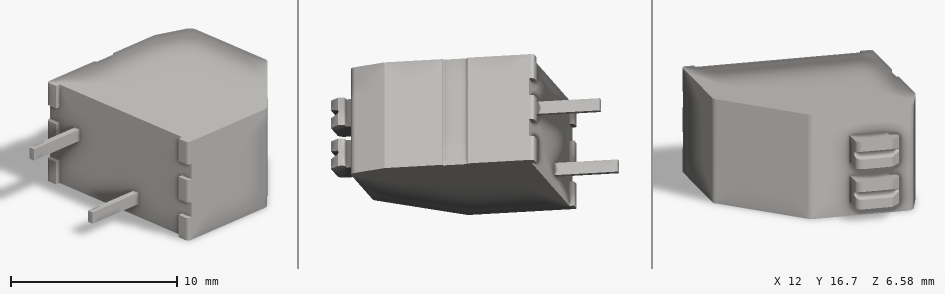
import cadquery as cq
import math


poles = 2
pole_pitch = 2.54
end_plate = 1.5

housing_x = 12.0
housing_z = poles * pole_pitch + end_plate
housing_height = 11.53
foot_height = 0.3
back_slope_height = 2.33
back_slope_angle = 20.0
back_slope_radius = 0.55
front_slope_x = 4.7
front_slope_height = 4.78
front_slope_radius = 0.5

groove_depth = 0.15
groove_width = 1.55
groove_bottom_y = 4.1
groove_radius = 0.14

foot_x = 0.8
foot_z = end_plate
foot_radius = 0.2

pin_length = 3.6
pin_x = 0.4
pin_z = 0.76
first_pin_x = 7.28
pin_stagger = 4.98
first_pin_z = 1.24

lever_height = 1.57
lever_z = 1.7
lever_top_z = pole_pitch
stem_back_x = 2.5
stem_front_x = 4.83
hook_overhang = 0.49
hook_bottom = 0.99
hook_chamfer = 0.59
hook_radius = 0.2
tip_radius = 0.4

notch_depth = 0.6
notch_mouth = 0.5
notch_floor = 0.2
notch_radius = 0.1


def vertical_edge(part, x, y):
    """Edge parallel to Z that passes through (x, y)."""
    reach = 0.01
    corner = cq.selectors.BoxSelector(
        (x - reach, y - reach, -housing_z),
        (x + reach, y + reach, 2 * housing_z),
    )
    return part.edges("|Z").edges(corner)


def make_housing():
    back_slope_x = back_slope_height * math.tan(math.radians(back_slope_angle))
    top = housing_height
    profile = [
        (0, 0),
        (housing_x, 0),
        (housing_x, top - front_slope_height),
        (housing_x - front_slope_x, top),
        (back_slope_x, top),
        (0, top - back_slope_height),
    ]
    housing = cq.Workplane("XY").polyline(profile).close().extrude(housing_z)
    housing = vertical_edge(housing, back_slope_x, top).fillet(back_slope_radius)
    for corner in (profile[2], profile[3]):
        housing = vertical_edge(housing, *corner).fillet(front_slope_radius)
    for x in (0, housing_x):
        housing = vertical_edge(housing, x, 0).fillet(foot_radius)
    return housing


def cut_feet(housing):
    """Leave a row of feet along the back and front edges of the bottom."""
    middle = cq.Workplane("XY").box(
        housing_x - 2 * foot_x, foot_height, housing_z, centered=False
    )
    housing = housing.cut(middle.translate((foot_x, 0, 0)))
    for pole in range(poles):
        gap = cq.Workplane("XY").box(
            housing_x, foot_height, pole_pitch - foot_z, centered=False
        )
        housing = housing.cut(gap.translate((0, 0, pole * pole_pitch + foot_z)))
    return housing


def make_groove():
    groove = cq.Workplane("XY").box(groove_depth, groove_width, housing_z, centered=False)
    groove = groove.edges("|Z and >X").fillet(groove_radius)
    return groove.translate((0, groove_bottom_y, 0))


def make_pin(pole):
    pin = cq.Workplane("XY").box(pin_x, pin_length + foot_height, pin_z, centered=(True, False, True))
    center_x = first_pin_x - pole * pin_stagger
    center_z = first_pin_z + pole * pole_pitch
    return pin.translate((center_x, -pin_length, center_z))


def make_notch(tip_y):
    profile = [
        (tip_y, -notch_mouth / 2),
        (tip_y - notch_depth, -notch_floor / 2),
        (tip_y - notch_depth, notch_floor / 2),
        (tip_y, notch_mouth / 2),
    ]
    notch = cq.Workplane("YZ").polyline(profile).close().extrude(housing_x)
    return notch.edges("|X and <Y").fillet(notch_radius)


def make_lever(pole):
    hook_x = stem_back_x - hook_overhang
    tip_y = housing_height + lever_height
    hook_y = tip_y - hook_bottom
    profile = [
        (stem_back_x, housing_height),
        (stem_front_x, housing_height),
        (stem_front_x, tip_y),
        (hook_x + hook_chamfer, tip_y),
        (hook_x, tip_y - hook_chamfer),
        (hook_x, hook_y),
        (stem_back_x, hook_y),
    ]
    lever = cq.Workplane("XY").polyline(profile).close().extrude(lever_z / 2, both=True)
    lever = vertical_edge(lever, stem_front_x, tip_y).fillet(tip_radius)
    lever = vertical_edge(lever, hook_x, hook_y).fillet(hook_radius)
    lever = lever.cut(make_notch(tip_y))
    return lever.translate((0, 0, lever_top_z - lever_z / 2 + pole * pole_pitch))


result = cut_feet(make_housing()).cut(make_groove())
for pole_index in range(poles):
    result = result.union(make_pin(pole_index))
    result = result.union(make_lever(pole_index))